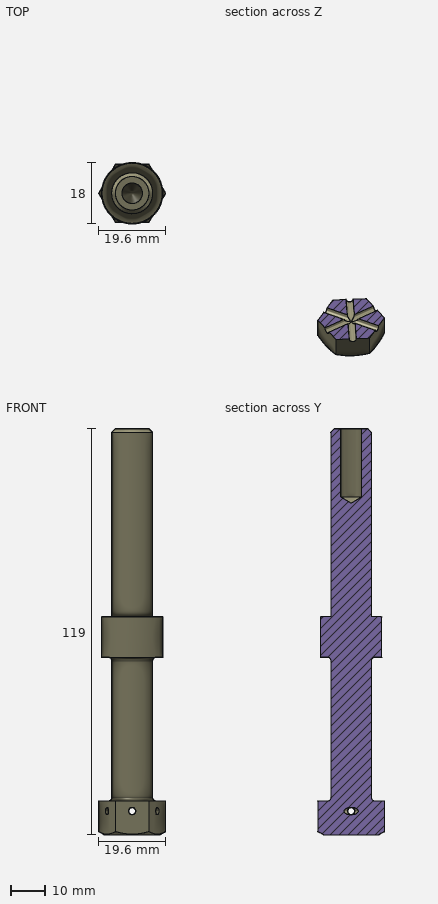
import cadquery as cq
import math

total_length = 119.0
shaft_radius = 6.0
tip_chamfer = 1.1
root_fillet = 1.0

head_across_flats = 17.0
head_height = 10.0
head_crown_angle = 30.0
head_crown_face_radius = 8.075

wire_hole_diameter = 2.0
wire_hole_below_head_top = 3.0
flat_pair_count = 3

collar_radius = 9.0
collar_bottom = 52.0
collar_height = 12.0
collar_chamfer = 0.2

bore_diameter = 6.0
bore_depth = 20.0
drill_point_angle = 118.0

head_across_corners = head_across_flats / math.cos(math.radians(30))
collar_top = collar_bottom + collar_height


def make_head():
    """Hexagonal prism whose lower corners are cut back by a cone."""
    prism = cq.Workplane("XY").polygon(6, head_across_corners).extrude(head_height)
    corner_radius = head_across_corners / 2
    crown_slope = math.tan(math.radians(head_crown_angle))
    crown_height = (corner_radius - head_crown_face_radius) * crown_slope
    crown_envelope = (
        cq.Workplane("XZ")
        .moveTo(0, 0)
        .lineTo(head_crown_face_radius, 0)
        .lineTo(corner_radius, crown_height)
        .lineTo(corner_radius, head_height)
        .lineTo(0, head_height)
        .close()
        .revolve(360, (0, 0), (0, 1))
    )
    return prism.intersect(crown_envelope)


def make_stem():
    """Shaft, collar and root fillets as one revolved profile above the head."""
    fillet_outer_radius = shaft_radius + root_fillet
    arc_offset = root_fillet * math.sqrt(0.5)
    head_fillet_top = head_height + root_fillet
    collar_fillet_bottom = collar_bottom - root_fillet
    return (
        cq.Workplane("XZ")
        .moveTo(0, head_height)
        .lineTo(fillet_outer_radius, head_height)
        .threePointArc(
            (fillet_outer_radius - arc_offset, head_fillet_top - arc_offset),
            (shaft_radius, head_fillet_top),
        )
        .lineTo(shaft_radius, collar_fillet_bottom)
        .threePointArc(
            (fillet_outer_radius - arc_offset, collar_fillet_bottom + arc_offset),
            (fillet_outer_radius, collar_bottom),
        )
        .lineTo(collar_radius, collar_bottom)
        .lineTo(collar_radius, collar_top - collar_chamfer)
        .lineTo(collar_radius - collar_chamfer, collar_top)
        .lineTo(shaft_radius, collar_top)
        .lineTo(shaft_radius, total_length - tip_chamfer)
        .lineTo(shaft_radius - tip_chamfer, total_length)
        .lineTo(0, total_length)
        .close()
        .revolve(360, (0, 0), (0, 1))
    )


def make_bore():
    """Drilled hole from the shaft tip, ending in a drill-point cone."""
    bore_radius = bore_diameter / 2
    bore_floor = total_length - bore_depth
    point_height = bore_radius / math.tan(math.radians(drill_point_angle / 2))
    return (
        cq.Workplane("XZ")
        .moveTo(0, total_length)
        .lineTo(bore_radius, total_length)
        .lineTo(bore_radius, bore_floor)
        .lineTo(0, bore_floor - point_height)
        .close()
        .revolve(360, (0, 0), (0, 1))
    )


def make_wire_hole(angle):
    """Cylinder through the head, square to one pair of flats."""
    return (
        cq.Workplane("XZ")
        .center(0, head_height - wire_hole_below_head_top)
        .circle(wire_hole_diameter / 2)
        .extrude(head_across_corners / 2, both=True)
        .rotate((0, 0, 0), (0, 0, 1), angle)
    )


result = make_head().union(make_stem()).cut(make_bore())
for pair in range(flat_pair_count):
    result = result.cut(make_wire_hole(pair * 180 / flat_pair_count))